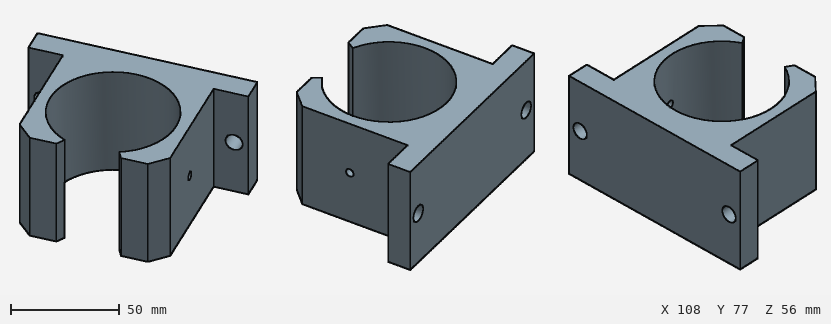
import cadquery as cq
import math

length = 108.0
depth = 77.0
height = 56.0

flange_thickness = 12.0
mount_hole_diameter = 8.4
mount_hole_inset = 7.0

body_width = 74.0
corner_chamfer = 8.0

bore_diameter = 62.0
bore_center_y = -45.0
mouth_inner_width = 26.8
mouth_outer_width = 31.8

side_hole_diameter = 4.1
side_hole_y = -43.3

bore_radius = bore_diameter / 2
mount_hole_spacing = length - 2 * mount_hole_inset
lip_y = bore_center_y - math.sqrt(bore_radius**2 - (mouth_inner_width / 2) ** 2)


def make_flange():
    """Back plate whose rear face lies on Y = 0."""
    return cq.Workplane("XY").box(length, flange_thickness, height).translate((0, -flange_thickness / 2, 0))


def make_body():
    """Block in front of the plate with both front corners chamfered."""
    block = cq.Workplane("XY").box(body_width, depth, height).translate((0, -depth / 2, 0))
    return block.faces("<Y").edges("|Z").chamfer(corner_chamfer)


def make_bore():
    """Vertical bore through the full height."""
    bore = cq.Workplane("XY").circle(bore_radius).extrude(height / 2, both=True)
    return bore.translate((0, bore_center_y, 0))


def make_mouth():
    """Opening that flares from the bore to the front face."""
    mouth_outline = [
        (-mouth_outer_width / 2, -depth),
        (mouth_outer_width / 2, -depth),
        (mouth_inner_width / 2, lip_y),
        (-mouth_inner_width / 2, lip_y),
    ]
    return cq.Workplane("XY").polyline(mouth_outline).close().extrude(height / 2, both=True)


def make_mount_holes():
    """One hole through each end of the plate."""
    return (
        cq.Workplane("XZ")
        .pushPoints([(-mount_hole_spacing / 2, 0), (mount_hole_spacing / 2, 0)])
        .circle(mount_hole_diameter / 2)
        .extrude(flange_thickness)
    )


def make_side_hole():
    """Hole along X, slightly behind the bore axis, out through the +X wall."""
    return (
        cq.Workplane("YZ")
        .center(side_hole_y, 0)
        .circle(side_hole_diameter / 2)
        .extrude(body_width / 2)
    )


result = (
    make_flange()
    .union(make_body())
    .cut(make_bore())
    .cut(make_mouth())
    .cut(make_mount_holes())
    .cut(make_side_hole())
)